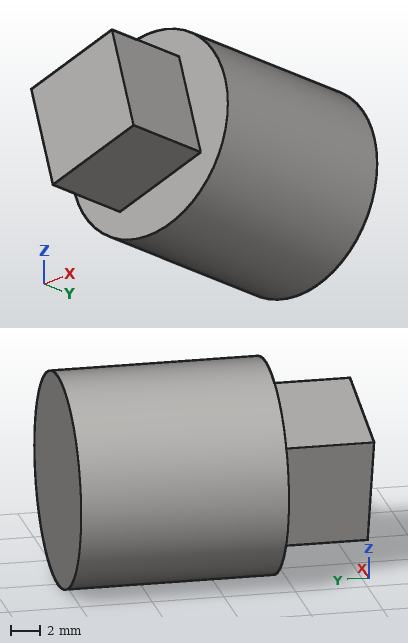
import cadquery as cq

total_length = 21.0
body_diameter = 15.0
drive_length = 6.5
drive_side = 8.0
drive_twist = 15.0

body_length = total_length - drive_length

body = cq.Workplane("XZ").circle(body_diameter / 2).extrude(-body_length)

drive = (
    cq.Workplane("XZ")
    .transformed(rotate=(0, 0, drive_twist))
    .rect(drive_side, drive_side)
    .extrude(drive_length)
)

result = body.union(drive)